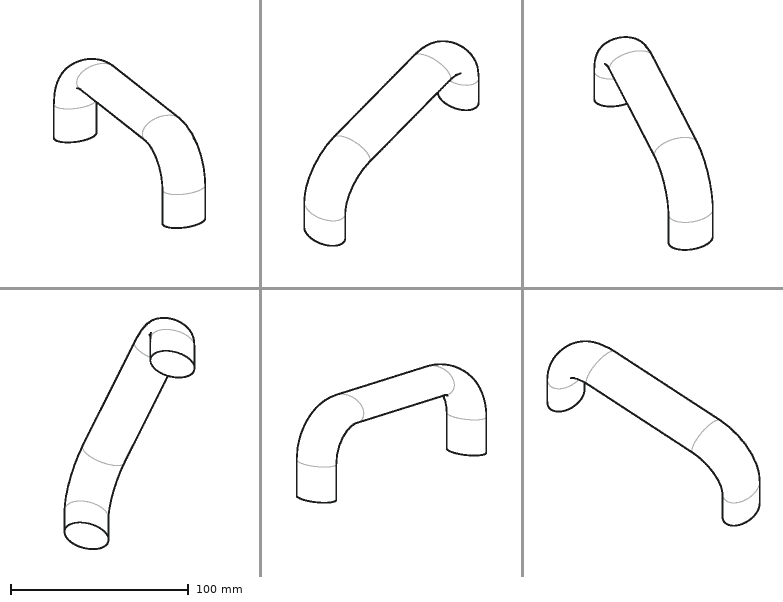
import cadquery as cq

length = 145.0
width = 26.0
height = 55.0

thickness = 17.0
bend_radius = 25.4

leg_x = (length - thickness) / 2
grip_z = height - thickness / 2
bend_start_z = grip_z - bend_radius
grip_end_x = leg_x - bend_radius
bend_mid = bend_radius * 0.5 ** 0.5

centreline = (
    cq.Workplane("XZ")
    .moveTo(-leg_x, 0)
    .lineTo(-leg_x, bend_start_z)
    .threePointArc((-grip_end_x - bend_mid, bend_start_z + bend_mid), (-grip_end_x, grip_z))
    .lineTo(grip_end_x, grip_z)
    .threePointArc((grip_end_x + bend_mid, bend_start_z + bend_mid), (leg_x, bend_start_z))
    .lineTo(leg_x, 0)
)

section = cq.Workplane("XY").center(-leg_x, 0).ellipse(thickness / 2, width / 2)
result = section.sweep(centreline)